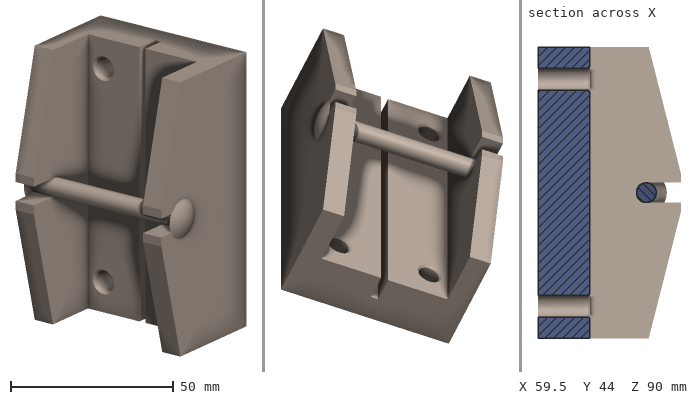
import cadquery as cq

height = 90.0
width = 56.0
depth = 44.0
side_wall = 7.0
back_wall = 16.0

nose_height = 12.1
slope_depth = 9.9

groove_width = 2.3
groove_depth = 8.1

hole_spacing_x = 30.1
hole_spacing_z = 70.0
hole_diameter = 6.7
countersink_diameter = 8.0
countersink_depth = (countersink_diameter - hole_diameter) / 2

pin_diameter = 6.2
pin_setback = 10.6
head_diameter = 12.6
overall_width = 59.5
head_height = (overall_width - width) / 2

back_y = depth / 2
front_y = -depth / 2
floor_y = back_y - back_wall
slope_y = front_y + slope_depth
pin_y = front_y + pin_setback


def make_channel():
    """Side profile drawn in YZ, extruded across X, then hollowed between the side walls."""
    block = (
        cq.Workplane("YZ")
        .polyline([
            (back_y, -height / 2),
            (slope_y, -height / 2),
            (front_y, -nose_height / 2),
            (front_y, nose_height / 2),
            (slope_y, height / 2),
            (back_y, height / 2),
        ])
        .close()
        .extrude(width / 2, both=True)
    )
    opening = cq.Workplane("XY").box(
        width - 2 * side_wall, depth - back_wall, height
    ).translate((0, (front_y + floor_y) / 2, 0))
    return block.cut(opening)


def make_groove():
    return cq.Workplane("XY").box(groove_width, groove_depth, height).translate(
        (0, floor_y + groove_depth / 2, 0)
    )


def make_screw_holes():
    """Four cutters, each revolved about its own Y axis."""
    hole_radius = hole_diameter / 2
    countersink_end_y = floor_y + countersink_depth
    cutter = (
        cq.Workplane("XY")
        .polyline([
            (0, floor_y),
            (countersink_diameter / 2, floor_y),
            (hole_radius, countersink_end_y),
            (hole_radius, back_y),
            (0, back_y),
        ])
        .close()
        .revolve(360, (0, 0, 0), (0, 1, 0))
    )
    holes = cq.Workplane("XY")
    for x in (-hole_spacing_x / 2, hole_spacing_x / 2):
        for z in (-hole_spacing_z / 2, hole_spacing_z / 2):
            holes = holes.add(cutter.translate((x, 0, z)))
    return holes.combine()


def make_pin_slot():
    """Slot from the nose inwards, ending in a half round that seats the pin."""
    radius = pin_diameter / 2
    return (
        cq.Workplane("YZ")
        .moveTo(front_y, -radius)
        .lineTo(pin_y, -radius)
        .threePointArc((pin_y + radius, 0), (pin_y, radius))
        .lineTo(front_y, radius)
        .close()
        .extrude(width / 2, both=True)
    )


def make_bracket():
    return make_channel().cut(make_groove()).cut(make_screw_holes()).cut(make_pin_slot())


def make_pin():
    """Shaft and both domed heads, revolved as one profile about the X axis."""
    shaft_end = width / 2
    tip = overall_width / 2
    shaft_radius = pin_diameter / 2
    head_radius = head_diameter / 2
    dome_radius = (head_radius**2 + head_height**2) / (2 * head_height)
    mid_radius = head_radius / 2
    mid_x = tip - dome_radius + (dome_radius**2 - mid_radius**2) ** 0.5
    profile = (
        cq.Workplane("XY")
        .moveTo(-tip, 0)
        .threePointArc((-mid_x, mid_radius), (-shaft_end, head_radius))
        .lineTo(-shaft_end, shaft_radius)
        .lineTo(shaft_end, shaft_radius)
        .lineTo(shaft_end, head_radius)
        .threePointArc((mid_x, mid_radius), (tip, 0))
        .close()
    )
    return profile.revolve(360, (0, 0, 0), (1, 0, 0)).translate((0, pin_y, 0))


bracket = make_bracket()
pin = make_pin()

result = cq.Compound.makeCompound([bracket.solids().val(), pin.val()])